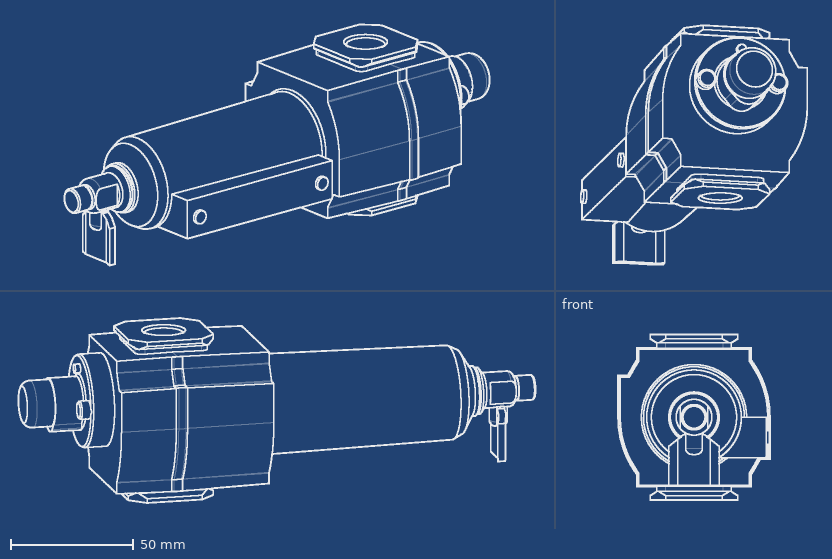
import cadquery as cq
import math


head_top_y = 25.5
head_bottom_y = -39.0
head_half_width = 62.0 / 2
head_half_height = 28.5
head_draft = 1.0
face_half_width = 23.3
face_edge_z = 23.3
pad_edge_z = 17.0
pad_step_x = 27.0
flank_radius = (face_edge_z**2 + (head_half_width - face_half_width)**2) / (
    2 * (head_half_width - face_half_width))
band_half_width = 1.5
band_ramp_width = 0.9
band_height = 0.2

port_centre_y = -0.2
port_face_z = 68.0 / 2
port_rim_z = 32.2
port_neck_z = 30.5
port_half_width = 36.0 / 2
port_half_edge = 11.7
neck_half_width = 15.3
neck_corner_radius = 3.5
port_bore = 15.8
port_bore_depth = 17.3
port_bore_chamfer = 1.0

bowl_collar_radius = 21.5
bowl_collar_end_y = -40.4
bowl_top_radius = 20.7
bowl_end_radius = 19.5
bowl_end_y = -121.0
bowl_shoulder_radius = 17.5
bowl_shoulder_y = -125.0
bowl_tip_radius = 10.4
bowl_tip_start_y = -129.5
bowl_tip_y = -131.2

gauge_top_y = -42.3
gauge_bottom_y = -119.1
gauge_inner_x = 8.6
gauge_outer_x = 29.5
gauge_height = 16.6
gauge_screw_diameter = 5.6
gauge_screw_end_x = 30.9
gauge_screw_inset = 6.0

drain_groove_radius = 9.0
drain_ring_radius = 9.7
drain_ring_start_y = -132.0
drain_ring_end_y = -133.1
drain_ring_foot_y = -135.0
drain_radius = 7.3
drain_flat_x = 11.5 / 2
drain_flat_start_y = -136.8
drain_round_y = -145.7
drain_end_y = -148.0
tip_radius = 5.2
tip_neck_radius = 4.7
tip_neck_y = -149.3
drain_tip_y = -156.5
tip_chamfer = 0.6
lever_y = -141.8
lever_stem_diameter = 7.5
lever_stem_end_z = -15.3
lever_stem_fillet = 2.5
wing_half_width = 20.5 / 2
wing_bend_x = 6.7
wing_thickness = 3.0
wing_offset = 1.3
wing_bottom_z = -27.8
wing_shoulder_z = -11.9
wing_root_x = 4.3
wing_root_z = -7.1

indicator_z = 6.3
base_radius = 19.2
base_edge_y = 34.3
base_face_y = 35.4
base_edge_inset = 0.5
collar_radius = 11.2
collar_height = 0.9
stem_radius = 20.5 / 2
stem_end_y = 48.1
cap_radius = 9.7
cap_round_y = 55.9
cap_face_radius = 7.5
indicator_end_y = 59.3
screw_spacing = 30.2
screw_diameter = 7.5
screw_end_y = 39.7
screw_chamfer = 0.6
vent_pin_offset = 13.8
vent_pin_diameter = 3.7
vent_pin_end_y = 37.5
key_half_width = 7.0
key_shoulder_x = 4.5
key_shoulder_drop = 10.1
key_drop = 12.0


def plane_at(y):
    """Plane across the filter axis whose local axes are X and Z and whose normal is -Y."""
    return cq.Workplane("XZ", origin=(0, y, 0))


def turned(profile):
    """Solid of revolution about the Y axis from a (radius, y) outline starting and ending on the axis."""
    points = [(y, radius) for radius, y in profile]
    return cq.Workplane("YZ").polyline(points).close().revolve(360, (0, 0, 0), (1, 0, 0))


def turned_round_end(start_y, start_radius, end_y, end_radius):
    """Rounded end whose arc leaves a cylinder of start_radius smoothly and stops at end_radius."""
    reach = abs(end_y - start_y)
    drop = start_radius - end_radius
    arc_radius = (reach**2 + drop**2) / (2 * drop)
    half_angle = math.asin(reach / arc_radius) / 2
    middle_y = start_y + math.copysign(arc_radius * math.sin(half_angle), end_y - start_y)
    middle_radius = start_radius - arc_radius * (1 - math.cos(half_angle))
    return (
        cq.Workplane("YZ").moveTo(start_y, 0).lineTo(start_y, start_radius)
        .threePointArc((middle_y, middle_radius), (end_y, end_radius))
        .lineTo(end_y, 0).close()
        .revolve(360, (0, 0, 0), (1, 0, 0))
    )


def head_outline(plane):
    """Head section: each side has a flat pad with a ledge and an arc, repeated by half a turn about Y."""
    mid_angle = math.asin(face_edge_z / flank_radius) / 2
    arc_x = head_half_width - flank_radius * (1 - math.cos(mid_angle))
    arc_z = flank_radius * math.sin(mid_angle)
    return (
        plane.moveTo(face_half_width, face_edge_z)
        .lineTo(face_half_width, head_half_height)
        .lineTo(-face_half_width, head_half_height)
        .lineTo(-face_half_width, face_edge_z)
        .lineTo(-pad_step_x, pad_edge_z)
        .lineTo(-head_half_width, pad_edge_z)
        .lineTo(-head_half_width, 0)
        .threePointArc((-arc_x, -arc_z), (-face_half_width, -face_edge_z))
        .lineTo(-face_half_width, -head_half_height)
        .lineTo(face_half_width, -head_half_height)
        .lineTo(face_half_width, -face_edge_z)
        .lineTo(pad_step_x, -pad_edge_z)
        .lineTo(head_half_width, -pad_edge_z)
        .lineTo(head_half_width, 0)
        .threePointArc((arc_x, arc_z), (face_half_width, face_edge_z))
        .close()
    )


def make_port_flange():
    """Square flange on the +Z face: rounded neck, tapered underside and a rim with cut corners."""
    neck_root_z = face_edge_z
    neck_width = 2 * neck_half_width
    port_width = 2 * port_half_width
    neck = (
        cq.Workplane("XY", origin=(0, 0, neck_root_z))
        .rect(neck_width, neck_width).extrude(port_neck_z - neck_root_z)
        .edges("|Z").fillet(neck_corner_radius)
    )
    taper = (
        cq.Workplane("XY", origin=(0, 0, port_neck_z)).rect(neck_width, neck_width)
        .workplane(offset=port_rim_z - port_neck_z).rect(port_width, port_width)
        .loft(ruled=True)
    )
    rim = (
        cq.Workplane("XY", origin=(0, 0, port_rim_z))
        .rect(port_width, port_width).extrude(port_face_z - port_rim_z)
    )
    cut_corners = (
        cq.Workplane("XY", origin=(0, 0, port_neck_z))
        .rect(port_width, port_width).extrude(port_face_z - port_neck_z)
        .edges("|Z").chamfer(port_half_width - port_half_edge)
    )
    return neck.union(taper.union(rim).intersect(cut_corners))


def make_port_bore():
    radius = port_bore / 2
    mouth_radius = radius + port_bore_chamfer
    floor_z = port_face_z - port_bore_depth
    return (
        cq.Workplane("XZ")
        .polyline([
            (0, floor_z), (radius, floor_z), (radius, port_face_z - port_bore_chamfer),
            (mouth_radius, port_face_z), (0, port_face_z),
        ])
        .close().revolve(360, (0, 0, 0), (0, 1, 0))
    )


def make_band():
    """Raised band with sloping edges around the sides, kept just below the flat port faces."""
    ramp_angle = math.degrees(math.atan(band_height / band_ramp_width))
    middle = (
        head_outline(plane_at(band_half_width)).offset2D(band_height, "intersection")
        .extrude(2 * band_half_width)
    )
    ramp = (
        head_outline(plane_at(-band_half_width)).offset2D(band_height, "intersection")
        .extrude(band_ramp_width, taper=ramp_angle)
    )
    reach_y = band_half_width + band_ramp_width
    trim_half_height = head_half_height - reach_y * math.tan(math.radians(head_draft))
    trim = cq.Workplane("XY").box(3 * head_half_width, 2 * reach_y, 2 * trim_half_height)
    return middle.union(ramp).union(ramp.mirror("XZ")).intersect(trim)


def make_head():
    lower = head_outline(plane_at(0)).extrude(-head_bottom_y, taper=head_draft)
    upper = head_outline(plane_at(0)).extrude(head_top_y, taper=head_draft).mirror("XZ")
    head = lower.union(upper).union(make_band())
    flange = make_port_flange().translate((0, port_centre_y, 0))
    bore = make_port_bore().translate((0, port_centre_y, 0))
    for turn in (0, 180):
        head = head.union(flange.rotate((0, 0, 0), (0, 1, 0), turn))
        head = head.cut(bore.rotate((0, 0, 0), (0, 1, 0), turn))
    return head


def make_bowl():
    return turned([
        (0, head_bottom_y), (bowl_collar_radius, head_bottom_y),
        (bowl_top_radius, bowl_collar_end_y), (bowl_end_radius, bowl_end_y),
        (bowl_shoulder_radius, bowl_shoulder_y), (bowl_tip_radius, bowl_tip_start_y),
        (bowl_tip_radius, bowl_tip_y), (0, bowl_tip_y),
    ])


def make_gauge(bowl):
    """Box on the +X side, fitted to the bowl wall, with two screw heads on its outer face."""
    length = gauge_top_y - gauge_bottom_y
    box = cq.Workplane("XY").box(
        gauge_outer_x - gauge_inner_x, length, gauge_height, centered=False
    ).translate((gauge_inner_x, gauge_bottom_y, -gauge_height))
    gauge = box.cut(bowl)
    for y in (gauge_top_y - gauge_screw_inset, gauge_bottom_y + gauge_screw_inset):
        screw = (
            cq.Workplane("YZ", origin=(gauge_outer_x, y, -gauge_height / 2))
            .circle(gauge_screw_diameter / 2).extrude(gauge_screw_end_x - gauge_outer_x)
        )
        gauge = gauge.union(screw)
    return gauge


def make_lever():
    """Stem pointing down from the drain, with a wing whose tips are bent to opposite sides."""
    stem = (
        cq.Workplane("XY", origin=(0, lever_y, lever_stem_end_z))
        .circle(lever_stem_diameter / 2).extrude(-lever_stem_end_z)
        .faces("<Z").edges().fillet(lever_stem_fillet)
    )
    half = wing_thickness / 2
    bent = (
        cq.Workplane("XY", origin=(0, lever_y, wing_bottom_z))
        .polyline([
            (-wing_half_width, half + wing_offset), (-wing_bend_x, half),
            (wing_bend_x, half), (wing_half_width, half - wing_offset),
            (wing_half_width, -half - wing_offset), (wing_bend_x, -half),
            (-wing_bend_x, -half), (-wing_half_width, wing_offset - half),
        ])
        .close().extrude(wing_root_z - wing_bottom_z)
    )
    face = (
        plane_at(lever_y)
        .polyline([
            (-wing_half_width, wing_bottom_z), (wing_half_width, wing_bottom_z),
            (wing_half_width, wing_shoulder_z), (wing_root_x, wing_root_z),
            (-wing_root_x, wing_root_z), (-wing_half_width, wing_shoulder_z),
        ])
        .close().extrude(2 * wing_thickness, both=True)
    )
    return stem.union(bent.intersect(face))


def make_drain():
    neck = turned([
        (0, bowl_tip_y), (drain_groove_radius, bowl_tip_y),
        (drain_groove_radius, drain_ring_start_y), (drain_ring_radius, drain_ring_start_y),
        (drain_ring_radius, drain_ring_end_y), (drain_radius, drain_ring_foot_y),
        (drain_radius, drain_round_y), (0, drain_round_y),
    ])
    rounded_end = turned_round_end(drain_round_y, drain_radius, drain_end_y, tip_radius)
    tip = turned([
        (0, drain_end_y), (tip_radius, drain_end_y),
        (tip_neck_radius, tip_neck_y), (tip_radius, tip_neck_y),
        (tip_radius, drain_tip_y + tip_chamfer), (tip_radius - tip_chamfer, drain_tip_y),
        (0, drain_tip_y),
    ])
    drain = neck.union(rounded_end).union(tip)
    flat_depth = drain_ring_radius - drain_flat_x
    for side in (-1, 1):
        flat = cq.Workplane("XY").box(
            flat_depth, drain_flat_start_y - drain_end_y, 2 * drain_radius
        ).translate((side * (drain_flat_x + flat_depth / 2), (drain_flat_start_y + drain_end_y) / 2, 0))
        drain = drain.cut(flat)
    return drain.union(make_lever())


def rod_along_y(diameter, start_y, end_y):
    return cq.Workplane("XZ", origin=(0, end_y, 0)).circle(diameter / 2).extrude(end_y - start_y)


def make_key():
    """Rounded key along the underside of the indicator stem."""
    root_z = -math.sqrt(stem_radius**2 - key_half_width**2)
    return (
        plane_at(stem_end_y)
        .moveTo(-key_half_width, root_z)
        .lineTo(-key_shoulder_x, -key_shoulder_drop)
        .threePointArc((0, -key_drop), (key_shoulder_x, -key_shoulder_drop))
        .lineTo(key_half_width, root_z)
        .close().extrude(stem_end_y - base_edge_y)
    )


def make_indicator():
    base = turned([
        (0, head_top_y), (base_radius, head_top_y), (base_radius, base_edge_y),
        (base_radius - base_edge_inset, base_face_y), (collar_radius, base_face_y),
        (stem_radius, base_face_y + collar_height), (stem_radius, stem_end_y), (0, stem_end_y),
    ])
    cap = turned([
        (0, stem_end_y), (cap_radius, stem_end_y), (cap_radius, cap_round_y), (0, cap_round_y),
    ])
    cap = cap.union(turned_round_end(cap_round_y, cap_radius, indicator_end_y, cap_face_radius))
    indicator = base.union(cap)
    for side in (-1, 1):
        screw = rod_along_y(screw_diameter, base_edge_y, screw_end_y).faces(">Y").chamfer(screw_chamfer)
        indicator = indicator.union(screw.translate((side * screw_spacing / 2, 0, 0)))
    pin = rod_along_y(vent_pin_diameter, base_edge_y, vent_pin_end_y)
    indicator = indicator.union(pin.translate((0, 0, vent_pin_offset)))
    return indicator.union(make_key()).translate((0, 0, indicator_z))


head = make_head()
bowl = make_bowl()
gauge = make_gauge(bowl)
drain = make_drain()
indicator = make_indicator()

result = cq.Compound.makeCompound([
    head.val(), bowl.val(), gauge.val(), drain.val(), indicator.val(),
])